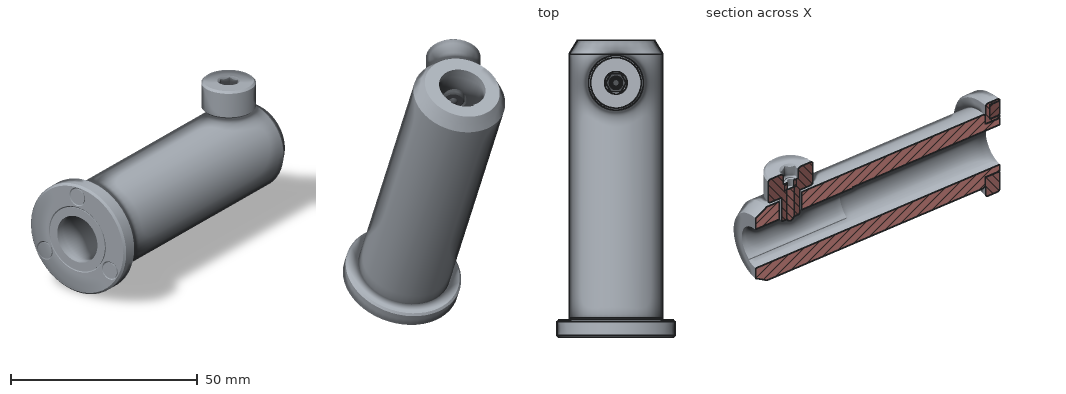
import cadquery as cq
import math

total_length = 79.7
tube_radius = 12.6
tube_shoulder_chamfer = 0.55
nose_length = 3.75
nose_end_radius = 10.3
spigot_radius = 9.2

bore_radius = 6.7
narrow_bore_radius = 6.4
narrow_bore_length = 31.9
relief_width = 6.2

flange_radius = 15.9
flange_thickness = 4.7
flange_chamfer = 0.55
flange_bore_chamfer = 0.3

magnet_count = 3
magnet_radius = 2.3
magnet_depth = 3.2
magnet_circle_radius = 12.5
magnet_hole_chamfer = 0.3

screw_y = 68.2
knob_radius = 7.3
knob_bottom_z = 13.4
knob_top_z = 21.4
knob_chamfer = 0.55
shank_radius = 3.0
shank_clearance = 0.55
shank_tip_z = 5.3
shank_tip_chamfer = 0.4

hex_sides = 6
hex_across_flats = 4.8
hex_corner_radius = hex_across_flats / math.sqrt(3)
hex_depth = 3.6
hex_mouth_radius = 3.0
hex_floor_z = knob_top_z - hex_depth

plug_radius = 1.75
plug_length = 2.4
plug_bottom_z = hex_floor_z - plug_length
plug_chamfer = 0.4
plug_hole_radius = 0.95
pin_radius = 1.1
pin_nose_z = 4.3


def cylinder_y(radius, start, length):
    """Cylinder along +Y, centred on the tube axis."""
    return cq.Workplane("XZ", origin=(0, start, 0)).circle(radius).extrude(-length)


def cylinder_z(radius, bottom_z, top_z):
    """Upright cylinder on the thumbscrew axis."""
    return cq.Workplane("XY", origin=(0, screw_y, bottom_z)).circle(radius).extrude(top_z - bottom_z)


def at_magnets(solid):
    """Copies of a solid at the top of the flange, spaced evenly around the tube axis."""
    step = 360 / magnet_count
    return [solid.rotate((0, 0, 0), (0, 1, 0), i * step) for i in range(magnet_count)]


def magnet_blank():
    """Disc at the topmost magnet position."""
    return cylinder_y(magnet_radius, 0, magnet_depth).translate((0, 0, magnet_circle_radius))


def make_tube():
    nose_start = total_length - nose_length
    shoulder_radius = tube_radius - tube_shoulder_chamfer
    body = (
        cq.Workplane("XY")
        .moveTo(0, 0)
        .lineTo(spigot_radius, 0)
        .lineTo(spigot_radius, flange_thickness)
        .lineTo(shoulder_radius, flange_thickness)
        .lineTo(tube_radius, flange_thickness + tube_shoulder_chamfer)
        .lineTo(tube_radius, nose_start)
        .lineTo(nose_end_radius, total_length)
        .lineTo(0, total_length)
        .close()
        .revolve(360, (0, 0, 0), (0, 1, 0))
    )
    wide_bore = cylinder_y(bore_radius, 0, total_length - narrow_bore_length)
    narrow_bore = cylinder_y(narrow_bore_radius, 0, total_length)
    relief_strip = cq.Workplane("XY").box(
        relief_width, total_length, bore_radius, centered=(True, False, False)
    ).translate((0, 0, -bore_radius))
    relief = cylinder_y(bore_radius, 0, total_length).intersect(relief_strip)
    screw_hole = cylinder_z(shank_radius + shank_clearance, 0, tube_radius)
    return body.cut(wide_bore).cut(narrow_bore).cut(relief).cut(screw_hole)


def make_flange():
    flange = cylinder_y(flange_radius, 0, flange_thickness).edges().chamfer(flange_chamfer)
    flange = flange.cut(cylinder_y(spigot_radius, 0, flange_thickness))
    bore_edge = cq.selectors.RadiusNthSelector(0)
    flange = flange.faces("<Y").edges(bore_edge).chamfer(flange_bore_chamfer)
    mouth = cq.Workplane(
        cq.Solid.makeCone(
            magnet_radius + magnet_hole_chamfer, magnet_radius, magnet_hole_chamfer,
            cq.Vector(0, 0, magnet_circle_radius), cq.Vector(0, 1, 0),
        )
    )
    for pocket in at_magnets(magnet_blank().union(mouth)):
        flange = flange.cut(pocket)
    return flange


def make_magnets():
    return [magnet.val() for magnet in at_magnets(magnet_blank())]


def make_thumbscrew():
    knob = cylinder_z(knob_radius, knob_bottom_z, knob_top_z).edges().chamfer(knob_chamfer)
    shank = cylinder_z(shank_radius, shank_tip_z, knob_bottom_z)
    shank = shank.faces("<Z").edges().chamfer(shank_tip_chamfer)
    hex_socket = (
        cq.Workplane("XY", origin=(0, screw_y, hex_floor_z))
        .polygon(hex_sides, 2 * hex_corner_radius)
        .extrude(hex_depth)
    )
    mouth = cq.Workplane(
        cq.Solid.makeCone(
            hex_mouth_radius, 0, hex_mouth_radius,
            cq.Vector(0, screw_y, knob_top_z), cq.Vector(0, 0, -1),
        )
    )
    plug_hole = cylinder_z(plug_radius, plug_bottom_z, hex_floor_z)
    pin_hole = cylinder_z(pin_radius, shank_tip_z, hex_floor_z)
    return knob.union(shank).cut(hex_socket).cut(mouth).cut(plug_hole).cut(pin_hole)


def make_plug():
    plug = cylinder_z(plug_radius, plug_bottom_z, hex_floor_z)
    plug = plug.faces(">Z").edges().chamfer(plug_chamfer)
    return plug.cut(cylinder_z(plug_hole_radius, plug_bottom_z, hex_floor_z))


def make_pin():
    nose_center_z = pin_nose_z + pin_radius
    stem = cylinder_z(pin_radius, nose_center_z, plug_bottom_z)
    nose = cq.Workplane("XY", origin=(0, screw_y, nose_center_z)).sphere(pin_radius)
    return stem.union(nose)


tube = make_tube()
flange = make_flange()
magnets = make_magnets()
thumbscrew = make_thumbscrew()
plug = make_plug()
pin = make_pin()

result = cq.Compound.makeCompound(
    [tube.val(), flange.val(), *magnets, thumbscrew.val(), plug.val(), pin.val()]
)